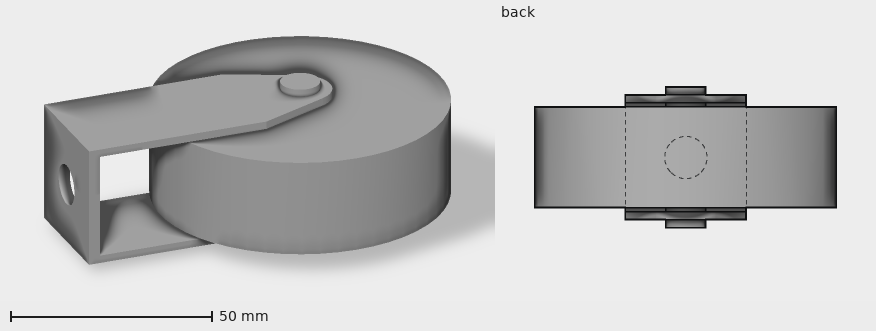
import cadquery as cq
import math

wheel_diameter = 75.0
wheel_width = 25.0
axle_diameter = 10.0
axle_length = 35.0

overall_length = 100.0
fork_width = 30.0
fork_height = 31.0
arm_thickness = 2.0
end_wall_thickness = 3.0
tip_radius = 8.0
taper_start_y = -15.0
mounting_hole_diameter = 10.5

half_width = fork_width / 2
fork_end_y = wheel_diameter / 2 - overall_length


def centred_cylinder(diameter, length):
    return cq.Workplane("XY", origin=(0, 0, -length / 2)).circle(diameter / 2).extrude(length)


def fork_arm(bottom_z):
    """Flat arm whose tapered sides run tangent into a round tip about the axle."""
    shoulder_distance = math.hypot(half_width, taper_start_y)
    shoulder_angle = math.atan2(taper_start_y, half_width)
    tangent_angle = shoulder_angle + math.acos(tip_radius / shoulder_distance)
    tangent_x = tip_radius * math.cos(tangent_angle)
    tangent_y = tip_radius * math.sin(tangent_angle)
    return (
        cq.Workplane("XY", origin=(0, 0, bottom_z))
        .moveTo(-half_width, fork_end_y)
        .lineTo(half_width, fork_end_y)
        .lineTo(half_width, taper_start_y)
        .lineTo(tangent_x, tangent_y)
        .threePointArc((0, tip_radius), (-tangent_x, tangent_y))
        .lineTo(-half_width, taper_start_y)
        .close()
        .extrude(arm_thickness)
    )


def end_wall():
    """Wall joining the two arms, with a central mounting hole along Y."""
    return (
        cq.Workplane("XZ", origin=(0, fork_end_y, 0))
        .rect(fork_width, fork_height)
        .circle(mounting_hole_diameter / 2)
        .extrude(-end_wall_thickness)
    )


wheel = centred_cylinder(wheel_diameter, wheel_width)
axle = centred_cylinder(axle_diameter, axle_length)
lower_arm = fork_arm(-fork_height / 2)
upper_arm = fork_arm(fork_height / 2 - arm_thickness)

result = wheel.union(axle).union(lower_arm).union(upper_arm).union(end_wall()).clean()